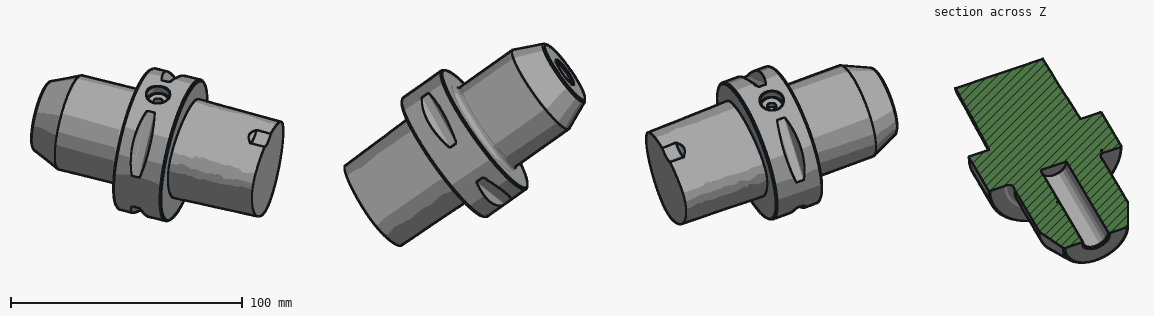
import cadquery as cq
import math


FLANGE_RADIUS = 63.0 / 2
FLANGE_WIDTH = 22.0
FLANGE_CHAMFER = 0.6

NOSE_LENGTH = 65.0
NOSE_RADIUS = 42.0 / 2
NOSE_TIP_RADIUS = 15.2
NOSE_CONE_LENGTH = 13.0
NOSE_TIP_CHAMFER = 0.6

UNDERCUT_RADIUS = 41.8 / 2
UNDERCUT_FILLET = 2.0
UNDERCUT_FACE_DEPTH = 0.15
UNDERCUT_FACE_RADIUS = 24.1
UNDERCUT_LENGTH = 3.2
UNDERCUT_RAMP_LENGTH = 0.4

BORE_RADIUS = 12.0 / 2
BORE_DEPTH = 45.0
BORE_CHAMFER = 0.7

SHANK_LENGTH = 38.0
SHANK_MEAN_RADIUS = 22.05
SHANK_LOBE = 1.35
SHANK_TAPER = 1 / 20
SHANK_CURVE_POINTS = 120

KEYWAY_RADIUS = 12.5 / 2
KEYWAY_LENGTH = 6.5
KEYWAY_FLOOR_HEIGHT = 18.0
KEYWAY_TIP_HALF_ANGLE = 45.0

FEATURE_X = -12.0
GROOVE_ANGLES = (45, 135, 225, 315)
GROOVE_FLOOR_DISTANCE = 28.0
GROOVE_FLOOR_WIDTH = 3.6
GROOVE_WALL_ANGLE = 30.0
GROOVE_FILLET = 0.6
HOLE_RADIUS = 10.0 / 2
HOLE_DEPTH = 4.8
HOLE_CHAMFER = 0.25
PILOT_RADIUS = 4.0 / 2
PILOT_DEPTH = 3.0
PILOT_TIP_HALF_ANGLE = 118.0 / 2


def tip_height(radius, half_angle):
    """Height of a cone with the given base radius and half angle."""
    return radius / math.tan(math.radians(half_angle))


def make_turned_body():
    """Nose, undercut and flange as one revolved profile (X, radius)."""
    tip_x = -NOSE_LENGTH
    face_x = -FLANGE_WIDTH
    cone_slope = (NOSE_RADIUS - NOSE_TIP_RADIUS) / NOSE_CONE_LENGTH
    tip_chamfer_rise = NOSE_TIP_CHAMFER * cone_slope
    undercut_x = face_x - UNDERCUT_LENGTH
    fillet_x = face_x + UNDERCUT_FACE_DEPTH
    fillet_diagonal = UNDERCUT_FILLET * (1 - math.sqrt(0.5))
    profile = (
        cq.Workplane("XY")
        .moveTo(tip_x, 0)
        .lineTo(tip_x, NOSE_TIP_RADIUS - NOSE_TIP_CHAMFER)
        .lineTo(tip_x + NOSE_TIP_CHAMFER, NOSE_TIP_RADIUS + tip_chamfer_rise)
        .lineTo(tip_x + NOSE_CONE_LENGTH, NOSE_RADIUS)
        .lineTo(undercut_x, NOSE_RADIUS)
        .lineTo(undercut_x + UNDERCUT_RAMP_LENGTH, UNDERCUT_RADIUS)
        .lineTo(fillet_x - UNDERCUT_FILLET, UNDERCUT_RADIUS)
        .threePointArc(
            (fillet_x - fillet_diagonal, UNDERCUT_RADIUS + fillet_diagonal),
            (fillet_x, UNDERCUT_RADIUS + UNDERCUT_FILLET),
        )
        .lineTo(face_x, UNDERCUT_FACE_RADIUS)
        .lineTo(face_x, FLANGE_RADIUS - FLANGE_CHAMFER)
        .lineTo(face_x + FLANGE_CHAMFER, FLANGE_RADIUS)
        .lineTo(-FLANGE_CHAMFER, FLANGE_RADIUS)
        .lineTo(0, FLANGE_RADIUS - FLANGE_CHAMFER)
        .lineTo(0, 0)
        .close()
    )
    return profile.revolve(360, (0, 0, 0), (1, 0, 0))


def polygon_curve(mean_radius):
    """Return the constant-width three-lobe curve, with one lobe on -Z."""

    def point(turn):
        angle = 2 * math.pi * turn
        support = mean_radius + SHANK_LOBE * math.cos(3 * angle)
        support_slope = -3 * SHANK_LOBE * math.sin(3 * angle)
        y = support * math.sin(angle) + support_slope * math.cos(angle)
        z = -support * math.cos(angle) + support_slope * math.sin(angle)
        return (y, z)

    return point


def make_shank():
    end_radius = SHANK_MEAN_RADIUS - SHANK_LENGTH * SHANK_TAPER / 2
    return (
        cq.Workplane("YZ")
        .parametricCurve(polygon_curve(SHANK_MEAN_RADIUS), N=SHANK_CURVE_POINTS)
        .workplane(offset=SHANK_LENGTH)
        .parametricCurve(polygon_curve(end_radius), N=SHANK_CURVE_POINTS)
        .loft(ruled=True)
    )


def make_keyway_cutter():
    """Cone-tipped cylinder running in from the shank end along -X."""
    start_x = SHANK_LENGTH - KEYWAY_LENGTH
    tip_x = start_x - tip_height(KEYWAY_RADIUS, KEYWAY_TIP_HALF_ANGLE)
    return (
        cq.Workplane("XY")
        .moveTo(tip_x, 0)
        .lineTo(start_x, KEYWAY_RADIUS)
        .lineTo(SHANK_LENGTH, KEYWAY_RADIUS)
        .lineTo(SHANK_LENGTH, 0)
        .close()
        .revolve(360, (0, 0, 0), (1, 0, 0))
        .translate((0, 0, KEYWAY_FLOOR_HEIGHT + KEYWAY_RADIUS))
    )


def make_bore_cutter():
    tip_x = -NOSE_LENGTH
    bore = cq.Workplane("YZ", origin=(tip_x, 0, 0)).circle(BORE_RADIUS).extrude(BORE_DEPTH)
    chamfer = cq.Solid.makeCone(
        BORE_RADIUS + BORE_CHAMFER, BORE_RADIUS, BORE_CHAMFER, cq.Vector(tip_x, 0, 0), cq.Vector(1, 0, 0)
    )
    return bore.union(cq.Workplane(chamfer))


def make_groove_cutter():
    """Trapezoidal groove across the +Z side of the flange, open along Y."""
    height = FLANGE_RADIUS - GROOVE_FLOOR_DISTANCE
    half_floor = GROOVE_FLOOR_WIDTH / 2
    half_top = half_floor + height * math.tan(math.radians(GROOVE_WALL_ANGLE))
    return (
        cq.Workplane("XZ", origin=(FEATURE_X, 0, GROOVE_FLOOR_DISTANCE))
        .polyline([(-half_floor, 0), (half_floor, 0), (half_top, height), (-half_top, height)])
        .close()
        .extrude(FLANGE_RADIUS, both=True)
        .faces("<Z")
        .edges("|Y")
        .fillet(GROOVE_FILLET)
    )


def make_locating_hole_cutter():
    """Hole in the top of the flange: chamfered floor corner, drilled pilot below."""
    floor_z = FLANGE_RADIUS - HOLE_DEPTH
    pilot_z = floor_z - PILOT_DEPTH
    return (
        cq.Workplane("XZ")
        .moveTo(0, pilot_z - tip_height(PILOT_RADIUS, PILOT_TIP_HALF_ANGLE))
        .lineTo(PILOT_RADIUS, pilot_z)
        .lineTo(PILOT_RADIUS, floor_z)
        .lineTo(HOLE_RADIUS - HOLE_CHAMFER, floor_z)
        .lineTo(HOLE_RADIUS, floor_z + HOLE_CHAMFER)
        .lineTo(HOLE_RADIUS, FLANGE_RADIUS)
        .lineTo(0, FLANGE_RADIUS)
        .close()
        .revolve(360, (0, 0, 0), (0, 1, 0))
        .translate((FEATURE_X, 0, 0))
    )


def cut_locating_hole(body):
    """Cut the locating hole and break its rim on the flange surface."""
    rim_height = math.sqrt(FLANGE_RADIUS**2 - HOLE_RADIUS**2)
    drilled = body.cut(make_locating_hole_cutter())
    around_rim = cq.selectors.BoxSelector(
        (FEATURE_X - 2 * HOLE_RADIUS, -2 * HOLE_RADIUS, rim_height - HOLE_CHAMFER),
        (FEATURE_X + 2 * HOLE_RADIUS, 2 * HOLE_RADIUS, FLANGE_RADIUS + HOLE_CHAMFER),
        boundingbox=True,
    )
    return drilled.edges(around_rim).chamfer(HOLE_CHAMFER)


body = make_turned_body().union(make_shank())
body = body.cut(make_keyway_cutter()).cut(make_bore_cutter())
for groove_angle in GROOVE_ANGLES:
    body = body.cut(make_groove_cutter().rotate((0, 0, 0), (1, 0, 0), groove_angle))
result = cut_locating_hole(body)